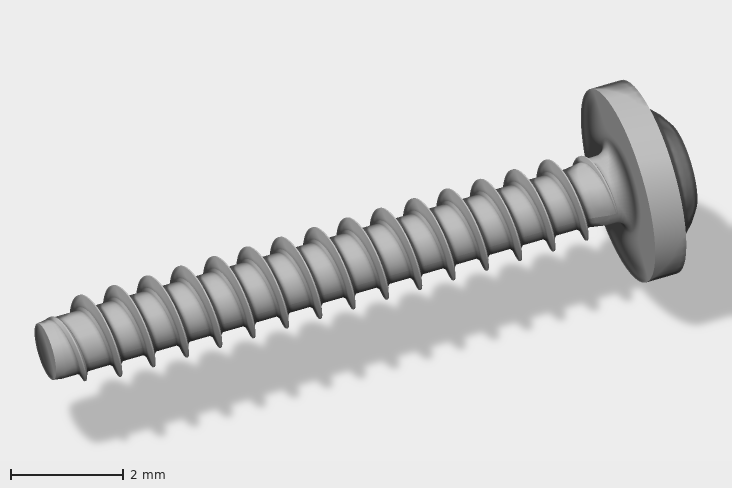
import cadquery as cq
import math


total_length = 12.2

flange_diameter = 3.6
flange_height = 0.6
dome_height = 0.6
dome_base_radius = 1.4
dome_sphere_radius = 1.6

neck_radius = 0.62
neck_fillet = 0.25
neck_length = 0.4
neck_taper_length = 0.44
core_radius = 0.55
tip_radius = 0.52
tip_taper_length = 0.17

crest_radius = 0.8
thread_length = 10.57
thread_turns = 16.5
thread_start_angle = -90.0
thread_tip_gap = 0.17
fade_turns = 1.0
tip_end_height = 0.1
head_end_height = 0.4
crest_half_width = 0.01
shoulder_radius = 0.6
shoulder_half_width = 0.07
root_radius = 0.51
root_half_width = 0.16
stretch_turns = 0.5
points_per_stretch = 12

pitch = thread_length / thread_turns
tip_y = flange_height + dome_height - total_length


def sphere_section_radius(y, center_y):
    """Radius of the dome sphere where it is cut at height y."""
    return math.sqrt(dome_sphere_radius**2 - (y - center_y) ** 2)


def make_body():
    """Head, neck and thread core as one solid of revolution about Y."""
    head_top = flange_height + dome_height
    dome_middle = flange_height + dome_height / 2
    sphere_center = flange_height - math.sqrt(dome_sphere_radius**2 - dome_base_radius**2)
    dome_top_radius = sphere_section_radius(head_top, sphere_center)
    dome_middle_radius = sphere_section_radius(dome_middle, sphere_center)
    flange_radius = flange_diameter / 2
    fillet_middle = neck_fillet * (1 - math.sqrt(0.5))
    profile = (
        cq.Workplane("XY")
        .moveTo(0, tip_y)
        .lineTo(tip_radius, tip_y)
        .lineTo(core_radius, tip_y + tip_taper_length)
        .lineTo(core_radius, -neck_length - neck_taper_length)
        .lineTo(neck_radius, -neck_length)
        .lineTo(neck_radius, -neck_fillet)
        .threePointArc((neck_radius + fillet_middle, -fillet_middle), (neck_radius + neck_fillet, 0))
        .lineTo(flange_radius, 0)
        .lineTo(flange_radius, flange_height)
        .lineTo(dome_base_radius, flange_height)
        .threePointArc((dome_middle_radius, dome_middle), (dome_top_radius, head_top))
        .lineTo(0, head_top)
        .close()
    )
    return profile.revolve(360, (0, 0, 0), (0, 1, 0))


def height_share(turn):
    """Share of the full thread height reached at a number of turns from the tip."""
    from_tip = turn / fade_turns
    from_head = (thread_turns - turn) / fade_turns
    tip_fade = tip_end_height + (1 - tip_end_height) * from_tip
    head_fade = head_end_height + (1 - head_end_height) * from_head
    return min(1.0, tip_fade, head_fade)


def helix_edge(radius, y_offset, first_turn, last_turn):
    """Stretch of a helical edge of the thread, following the fade at both ends."""
    points = []
    for step in range(points_per_stretch + 1):
        turn = first_turn + (last_turn - first_turn) * step / points_per_stretch
        angle = math.radians(thread_start_angle + 360 * turn)
        r = root_radius + (radius - root_radius) * height_share(turn)
        y = tip_y + thread_tip_gap + pitch * turn + y_offset
        points.append(cq.Vector(r * math.sin(angle), y, r * math.cos(angle)))
    return cq.Edge.makeSpline(points)


def end_face(edges, end):
    """Flat face closing the thread at the start (0) or end (1) of a stretch."""
    corners = [edge.positionAt(end) for edge in edges]
    return cq.Face.makeFromWires(cq.Wire.makePolygon(corners, close=True))


def make_thread():
    """Solid thread with flanks that steepen at the shoulder, and with its root buried in the core."""
    section = [
        (root_radius, -root_half_width),
        (shoulder_radius, -shoulder_half_width),
        (crest_radius, -crest_half_width),
        (crest_radius, crest_half_width),
        (shoulder_radius, shoulder_half_width),
        (root_radius, root_half_width),
    ]
    stretch_count = round(thread_turns / stretch_turns)
    stretches = []
    for index in range(stretch_count):
        first_turn = index * stretch_turns
        last_turn = first_turn + stretch_turns
        stretches.append([helix_edge(r, y, first_turn, last_turn) for r, y in section])
    faces = [end_face(stretches[0], 0), end_face(stretches[-1], 1)]
    for edges in stretches:
        for i in range(len(edges)):
            faces.append(cq.Face.makeRuledSurface(edges[i - 1], edges[i]))
    return cq.Workplane(cq.Solid.makeSolid(cq.Shell.makeShell(faces)))


result = make_body().union(make_thread())